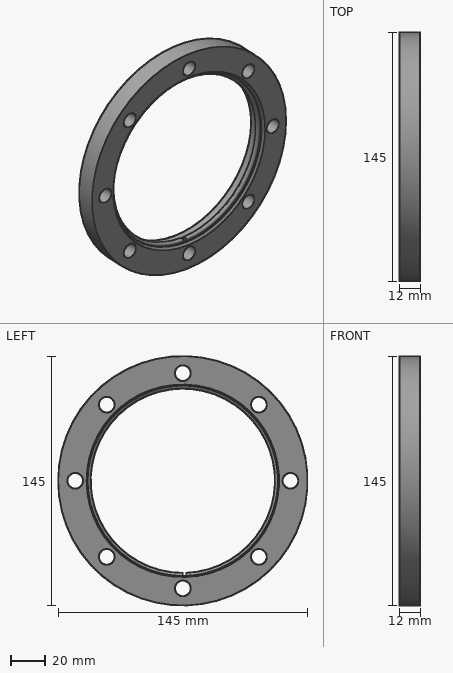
import cadquery as cq

outer_diameter = 145.0
flange_width = 12.0
bore_diameter = 110.5
front_chamfer = 0.7
rear_chamfer = 1.5

hole_count = 8
hole_diameter = 9.0
bolt_circle_diameter = 125.0

groove_diameter = 113.5
wire_diameter = 3.3
wire_center_x = 7.8
ring_gap_angle = 2.0

wire_path_radius = (groove_diameter - wire_diameter) / 2


def revolved_wire(angle):
    """Round wire swept about X from the lowest point, starting towards +Y."""
    return (
        cq.Workplane("XZ")
        .center(wire_center_x, -wire_path_radius)
        .circle(wire_diameter / 2)
        .revolve(angle, (0, wire_path_radius), (1, wire_path_radius))
    )


def make_flange():
    body = (
        cq.Workplane("YZ")
        .circle(outer_diameter / 2)
        .circle(bore_diameter / 2)
        .extrude(flange_width)
    )
    bore_edge = cq.selectors.RadiusNthSelector(0)
    body = body.faces("<X").edges(bore_edge).chamfer(front_chamfer)
    body = body.faces(">X").edges(bore_edge).chamfer(rear_chamfer)
    bolt_holes = (
        cq.Workplane("YZ")
        .polarArray(bolt_circle_diameter / 2, 0, 360, hole_count)
        .circle(hole_diameter / 2)
        .extrude(flange_width)
    )
    return body.cut(bolt_holes).cut(revolved_wire(360))


def make_snap_ring():
    return revolved_wire(360 - ring_gap_angle)


flange = make_flange()
snap_ring = make_snap_ring()

result = cq.Compound.makeCompound([flange.val(), snap_ring.val()])